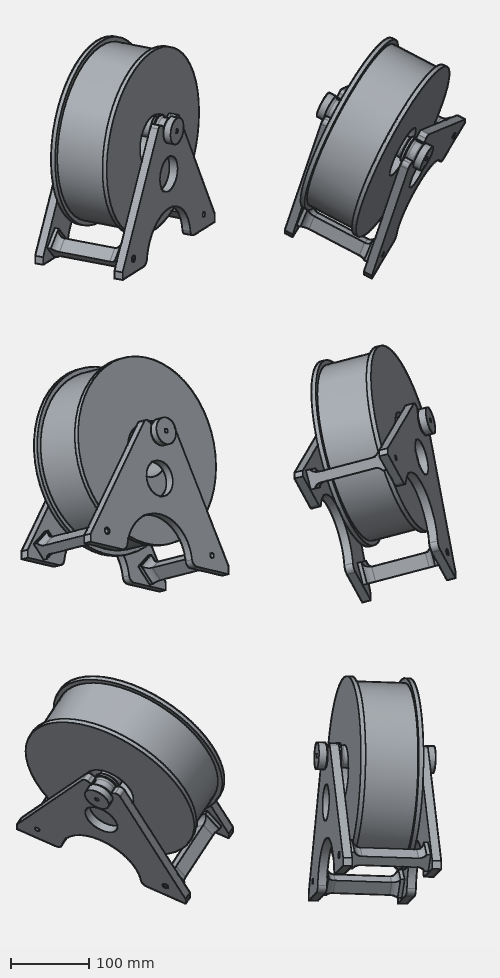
import cadquery as cq
import math

half_length = 75.9

spool_radius = 122.5
drum_radius = 116.3
spool_half_width = 40.7
drum_half_width = 34.5
bore_radius = 34.3
spool_z = 268 - spool_radius

journal_radius = 14.5
collar_radius = 17.5
collar_chamfer = 0.8
axle_hole_radius = 2.7
cap_inner_x = 65.5
ring_outer_x = 51.2
ring_inner_x = 46.0
neck_radius = collar_radius - journal_radius
axle_z = spool_z + bore_radius - journal_radius

plate_inner_x = 52.0
plate_outer_x = 63.8
foot_half_width = 122.5
foot_height = 10.5
slope = math.radians(60)
ear_y = 22.5
ear_radius = 5.5
arch_radius = 58.0
arch_corner_radius = 9.5
window_radius = 23.3
window_z = 104.8
screw_y = 93.0
screw_z = 19.5
screw_radius = 3.2
countersink_depth = 1.0

bar_tilt = 45
bar_width = 14.0
bar_depth = 19.8
pad_width = 25.2
pad_depth = 29.0
pad_thickness = 5.4
pad_blend_length = 10.0
bar_y = 96.0
bar_z = 18.0
pilot_radius = 2.5
pilot_length = 10.7
pilot_rise = 2.5


def centred_disc(radius, half_width):
    return cq.Workplane("YZ", origin=(-half_width, 0, 0)).circle(radius).extrude(2 * half_width)


def spool():
    flange_width = spool_half_width - drum_half_width
    wheel = centred_disc(drum_radius, drum_half_width)
    for flange_x in (-spool_half_width, drum_half_width):
        flange = cq.Workplane("YZ", origin=(flange_x, 0, 0)).circle(spool_radius).extrude(flange_width)
        wheel = wheel.union(flange)
    return wheel.cut(centred_disc(bore_radius, spool_half_width)).translate((0, 0, spool_z))


def axle_envelope():
    """The +X stub axle without its hole, centred on the X axis."""
    diagonal = neck_radius * math.sqrt(0.5)
    arc_radius_level = collar_radius - diagonal
    chamfer_radius = collar_radius - collar_chamfer
    arc_reach = math.sqrt(neck_radius**2 - collar_chamfer**2)
    inner_arc_x = ring_inner_x - arc_reach
    outer_arc_x = ring_outer_x + arc_reach
    cap_arc_x = cap_inner_x - neck_radius
    half_section = (
        cq.Workplane("XY")
        .lineTo(0, journal_radius)
        .lineTo(inner_arc_x, journal_radius)
        .threePointArc((inner_arc_x + diagonal, arc_radius_level), (ring_inner_x, chamfer_radius))
        .lineTo(ring_inner_x + collar_chamfer, collar_radius)
        .lineTo(ring_outer_x - collar_chamfer, collar_radius)
        .lineTo(ring_outer_x, chamfer_radius)
        .threePointArc((outer_arc_x - diagonal, arc_radius_level), (outer_arc_x, journal_radius))
        .lineTo(cap_arc_x, journal_radius)
        .threePointArc((cap_arc_x + diagonal, arc_radius_level), (cap_inner_x, collar_radius))
        .lineTo(half_length, collar_radius)
        .lineTo(half_length, 0)
        .close()
    )
    return half_section.revolve(360, (0, 0, 0), (1, 0, 0))


def stub_axle():
    """The +X half of the axle; the two halves meet at the middle plane."""
    hole = cq.Workplane("YZ").circle(axle_hole_radius).extrude(half_length)
    return axle_envelope().cut(hole).translate((0, 0, axle_z))


def axle_slot():
    """Open-topped seat: a straight channel with a floor that fits the journal and its concave rounds."""
    channel = cq.Workplane("XY").rect(2 * half_length, 2 * journal_radius).extrude(spool_radius)
    return axle_envelope().union(channel).translate((0, 0, axle_z))


def round_edge_pair(plate, y, z, radius):
    """Round the two edges that cross the plate's thickness at (y, z) and (-y, z)."""
    middle_x = (plate_inner_x + plate_outer_x) / 2
    left = cq.selectors.NearestToPointSelector((middle_x, -y, z))
    right = cq.selectors.NearestToPointSelector((middle_x, y, z))
    return plate.edges(left + right).fillet(radius)


def plate_blank():
    thickness = plate_outer_x - plate_inner_x
    slant_end_y = ear_y + ear_radius * math.sin(slope)
    slant_end_z = foot_height + (foot_half_width - slant_end_y) * math.tan(slope)
    ear_corner_y = slant_end_y - ear_radius * math.cos(slope)
    ear_corner_z = slant_end_z + ear_radius * math.sin(slope)
    valley_z = ear_corner_z - ear_corner_y / math.tan(slope)
    outline = [
        (-foot_half_width, 0),
        (foot_half_width, 0),
        (foot_half_width, foot_height),
        (ear_corner_y, ear_corner_z),
        (0, valley_z),
        (-ear_corner_y, ear_corner_z),
        (-foot_half_width, foot_height),
    ]
    blank = cq.Workplane("YZ", origin=(plate_inner_x, 0, 0)).polyline(outline).close().extrude(thickness)
    return round_edge_pair(blank, ear_corner_y, ear_corner_z, ear_radius)


def cross_hole(y, z, radius):
    return cq.Workplane("YZ").center(y, z).circle(radius).extrude(half_length)


def countersink():
    cone = cq.Solid.makeCone(
        screw_radius + countersink_depth,
        screw_radius,
        countersink_depth,
        cq.Vector(plate_outer_x, -screw_y, screw_z),
        cq.Vector(-1, 0, 0),
    )
    return cq.Workplane(cone)


def side_plate():
    """The +X side plate."""
    plate = plate_blank().cut(cross_hole(0, 0, arch_radius))
    plate = round_edge_pair(plate, arch_radius, 0, arch_corner_radius)
    plate = plate.cut(cross_hole(0, window_z, window_radius))
    for side in (-1, 1):
        plate = plate.cut(cross_hole(side * screw_y, screw_z, screw_radius))
    plate = plate.cut(countersink())
    return plate.cut(axle_slot())


def flared_edge(sketch, bar_level, pad_level):
    """Draw one long edge from the -X end to the +X end, flaring out to the pads in round arcs."""
    pad_x = plate_inner_x - pad_thickness
    blend_x = pad_x - pad_blend_length
    rise = abs(pad_level - bar_level)
    outward = math.copysign(1, pad_level - bar_level)
    radius = (pad_blend_length**2 + rise**2) / (2 * rise)
    half_angle = math.asin(pad_blend_length / radius) / 2
    middle_x = blend_x + radius * math.sin(half_angle)
    middle_level = bar_level + outward * radius * (1 - math.cos(half_angle))
    return (
        sketch.lineTo(-plate_inner_x, pad_level)
        .lineTo(-pad_x, pad_level)
        .threePointArc((-middle_x, middle_level), (-blend_x, bar_level))
        .lineTo(blend_x, bar_level)
        .threePointArc((middle_x, middle_level), (pad_x, pad_level))
        .lineTo(plate_inner_x, pad_level)
    )


def tie_bar():
    """The -Y tie bar: two flared outlines, square to each other, intersected and tilted."""
    upper = flared_edge(cq.Workplane("XZ").moveTo(-plate_inner_x, 0), bar_width / 2, pad_width / 2)
    half_across = upper.lineTo(plate_inner_x, 0).close().extrude(pad_depth, both=True)
    across = half_across.union(half_across.mirror("XY"))

    flat_level = -bar_depth / 2
    along = cq.Workplane("XY").moveTo(-plate_inner_x, flat_level)
    along = flared_edge(along, bar_depth / 2, pad_depth + flat_level)
    along = along.lineTo(plate_inner_x, flat_level).close().extrude(pad_width, both=True)
    bar = across.intersect(along)

    pilot = (
        cq.Workplane("YZ", origin=(plate_inner_x, 0, 0))
        .center(pilot_rise, 0)
        .circle(pilot_radius)
        .extrude(-pilot_length)
    )
    bar = bar.cut(pilot).cut(pilot.mirror("YZ"))
    return bar.rotate((0, 0, 0), (1, 0, 0), bar_tilt).translate((0, -bar_y, bar_z))


def mirrored_pair(body, mirror_plane):
    return [body.val().Solids()[0], body.mirror(mirror_plane).val().Solids()[0]]


wheel = spool().val().Solids()[0]
plates = mirrored_pair(side_plate(), "YZ")
axles = mirrored_pair(stub_axle(), "YZ")
bars = mirrored_pair(tie_bar(), "XZ")

result = cq.Compound.makeCompound([wheel, *plates, *axles, *bars])